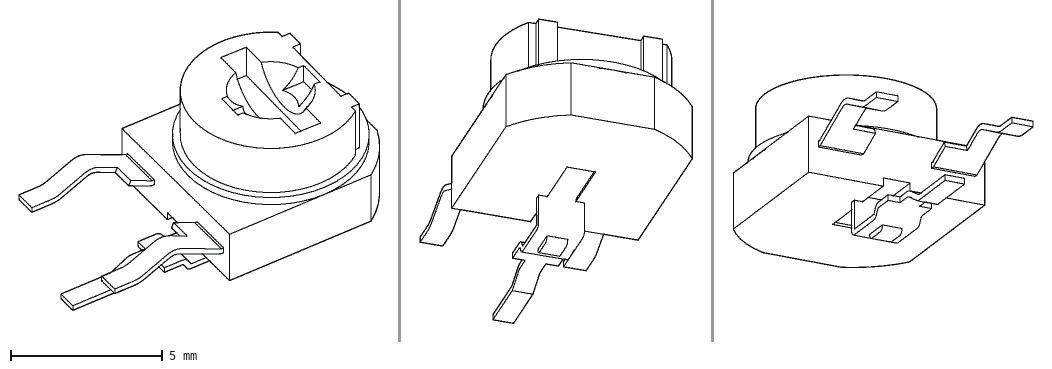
import cadquery as cq
import math


overall_length = 11.31

housing_width = 6.5
housing_back_y = housing_width / 2
housing_front_y = -3.75
housing_height = 2.0
corner_radius = 3.97
corner_center_y = -0.44
collar_height = 0.3
collar_top_z = housing_height + collar_height
collar_bore_radius = 2.69

knob_radius = 3.0
knob_height = 1.9
knob_top_z = collar_top_z + knob_height
knob_turn = -1.0
flat_y = 1.8
tab_inner_x = 1.49
tab_outer_x = 2.15
tab_tip_y = 2.1
slot_length = 4.6
slot_width = 1.0
slot_depth = 1.22
cross_slot_length = 3.2
cross_slot_depth = 0.7
bowl_radius = 1.47
bowl_depth = 1.0

sheet_thickness = 0.2
sharp_bend = sheet_thickness / 2
blade_width = 1.61
terminal_end_y = housing_back_y - overall_length

side_outer_x = 2.9
side_arm_width = 0.79
side_root_z = 1.06
side_first_bend_y = -3.87
side_blade_end_y = -4.73
side_peak_y = -5.7
side_peak_radius = 0.59
side_tip_z = 1.27
side_tip_radius = 0.92
side_slope = math.radians(25)

wiper_leg_y = -2.13
wiper_arm_width = 0.72
wiper_low_z = -1.13
wiper_step_y = -3.73
wiper_step_z = -0.81
wiper_step_slope = math.radians(60)
wiper_step_radius = 0.2
wiper_shoulder_y = -4.73
wiper_drop_y = -5.35
wiper_drop_radius = 0.37
wiper_drop_slope = math.radians(30)
wiper_tip_z = -1.23
tongue_width = 1.0
tongue_top_z = 0.29
tongue_end_y = 0.0
tongue_bend_radius = tongue_top_z - sheet_thickness / 2
rib_center_y = -2.94
rib_length = 0.95
rib_bottom_z = -1.43
rib_corner_radius = 0.18


def box(x_range, y_range, z_range):
    """Box between the given limits."""
    size = [high - low for low, high in (x_range, y_range, z_range)]
    corner = (x_range[0], y_range[0], z_range[0])
    return cq.Workplane("XY").box(*size, centered=False).translate(corner)


def strip_corners(path, offset):
    """Mitred corners of the line that runs beside a (Y, Z) path; a positive offset is to its left."""
    points = [cq.Vector(0, y, z) for y, z in path]
    left = [cq.Vector(1, 0, 0).cross(end - start).normalized() for start, end in zip(points, points[1:])]
    corners = [points[0] + left[0] * offset]
    for point, left_before, left_after in zip(points[1:], left, left[1:]):
        miter = left_before + left_after
        corners.append(point + miter * (2 * offset / miter.dot(miter)))
    corners.append(points[-1] + left[-1] * offset)
    return corners


def round_corner(outline, corner, radius):
    """Wire with the vertex at the given corner rounded."""
    vertex = min(outline.Vertices(), key=lambda candidate: (candidate.Center() - corner).Length)
    return outline.fillet2D(radius, [vertex])


def bent_strip(path, bend_radii, x_range):
    """Sheet strip along a (Y, Z) centre path, with a centre radius for each inner path point.

    A radius of zero leaves that bend mitred on both sides.
    """
    half_sheet = sheet_thickness / 2
    left_side = strip_corners(path, half_sheet)
    right_side = strip_corners(path, -half_sheet)
    outline = cq.Wire.makePolygon(left_side + right_side[::-1], close=True)
    for i, radius in enumerate(bend_radii, start=1):
        left_in = left_side[i] - left_side[i - 1]
        left_out = left_side[i + 1] - left_side[i]
        turns_left = left_in.cross(left_out).x > 0
        inner, outer = (left_side, right_side) if turns_left else (right_side, left_side)
        for corner, side_radius in ((inner[i], radius - half_sheet), (outer[i], radius + half_sheet)):
            if radius > 0 and side_radius > 0:
                outline = round_corner(outline, corner, side_radius)
    x_start, x_end = x_range
    strip = cq.Solid.extrudeLinear(outline, [], cq.Vector(x_end - x_start, 0, 0))
    return cq.Workplane("XY").add(strip).translate((x_start, 0, 0))


def make_housing():
    """Block with two rounded rear corners, and a bored collar on top."""
    half_width = housing_width / 2
    back_corner_x = math.sqrt(corner_radius**2 - (housing_back_y - corner_center_y) ** 2)
    side_corner_y = corner_center_y + math.sqrt(corner_radius**2 - half_width**2)
    diagonal = corner_radius * math.sqrt(0.5)
    block = (
        cq.Workplane("XY")
        .moveTo(-half_width, housing_front_y)
        .lineTo(half_width, housing_front_y)
        .lineTo(half_width, side_corner_y)
        .threePointArc((diagonal, corner_center_y + diagonal), (back_corner_x, housing_back_y))
        .lineTo(-back_corner_x, housing_back_y)
        .threePointArc((-diagonal, corner_center_y + diagonal), (-half_width, side_corner_y))
        .close()
        .extrude(housing_height)
    )
    collar = (
        cq.Workplane("XY", origin=(0, 0, housing_height))
        .circle(half_width)
        .circle(collar_bore_radius)
        .extrude(collar_height)
    )
    tongue_channel = box(
        (-tongue_width / 2, tongue_width / 2),
        (housing_front_y, tongue_end_y),
        (0, tongue_top_z),
    )
    return block.union(collar).cut(tongue_channel)


def make_driver_recess():
    """Straight slot, shorter cross slot and spherical bowl, all open at the top of the knob."""
    slot = box(
        (-slot_length / 2, slot_length / 2),
        (-slot_width / 2, slot_width / 2),
        (knob_top_z - slot_depth, knob_top_z),
    )
    cross_slot = box(
        (-slot_width / 2, slot_width / 2),
        (-cross_slot_length / 2, cross_slot_length / 2),
        (knob_top_z - cross_slot_depth, knob_top_z),
    )
    sphere_radius = (bowl_radius**2 + bowl_depth**2) / (2 * bowl_depth)
    bowl = cq.Workplane("XY").sphere(sphere_radius).translate((0, 0, knob_top_z - bowl_depth + sphere_radius))
    return slot.union(cross_slot).union(bowl)


def make_rotor():
    """Knob with a flat and two pointer tabs, on a spigot that fills the collar bore."""
    knob_z = (collar_top_z, knob_top_z)
    knob = cq.Workplane("XY", origin=(0, 0, collar_top_z)).circle(knob_radius).extrude(knob_height)
    knob = knob.cut(box((-knob_radius, knob_radius), (flat_y, knob_radius), knob_z))
    for x_range in ((-tab_outer_x, -tab_inner_x), (tab_inner_x, tab_outer_x)):
        knob = knob.union(box(x_range, (0, tab_tip_y), knob_z))
    knob = knob.cut(make_driver_recess()).rotate((0, 0, 0), (0, 0, 1), knob_turn)
    spigot = cq.Workplane("XY", origin=(0, 0, housing_height)).circle(collar_bore_radius).extrude(collar_height)
    return knob.union(spigot)


def make_side_terminal(side):
    """L-shaped terminal: a wide blade at the housing face, and a narrow arm on its outer edge."""
    rise = math.tan(side_slope)
    root = (housing_front_y, side_root_z)
    first_bend = (side_first_bend_y, side_root_z)
    blade_end = (side_blade_end_y, side_root_z + (side_first_bend_y - side_blade_end_y) * rise)
    peak_z = side_root_z + (side_first_bend_y - side_peak_y) * rise
    peak = (side_peak_y, peak_z)
    tip_bend = (side_peak_y - (peak_z - side_tip_z) / rise, side_tip_z)
    tip = (terminal_end_y, side_tip_z)

    def x_range(width):
        return sorted((side * side_outer_x, side * (side_outer_x - width)))

    blade = bent_strip([root, first_bend, blade_end], [0], x_range(blade_width))
    arm = bent_strip(
        [root, first_bend, peak, tip_bend, tip],
        [0, side_peak_radius, side_tip_radius],
        x_range(side_arm_width),
    )
    return blade.union(arm)


def make_wiper_terminal():
    """Terminal under the housing: tongue in the channel, wide blade, narrow arm and a stiffening rib."""
    blade_x = (-blade_width / 2, blade_width / 2)
    arm_x = (-wiper_arm_width / 2, wiper_arm_width / 2)
    tongue_x = (-tongue_width / 2, tongue_width / 2)
    tongue_z = tongue_top_z - sheet_thickness / 2
    tongue = bent_strip(
        [(tongue_end_y, tongue_z), (wiper_leg_y, tongue_z), (wiper_leg_y, 0)],
        [tongue_bend_radius],
        tongue_x,
    )

    step_run = (wiper_step_z - wiper_low_z) / math.tan(wiper_step_slope)
    shoulder = (wiper_shoulder_y, wiper_step_z)
    blade = bent_strip(
        [
            (wiper_leg_y, 0),
            (wiper_leg_y, wiper_low_z),
            (wiper_step_y, wiper_low_z),
            (wiper_step_y - step_run, wiper_step_z),
            shoulder,
        ],
        [sharp_bend, sharp_bend, wiper_step_radius],
        blade_x,
    )

    drop_run = (wiper_step_z - wiper_tip_z) / math.tan(wiper_drop_slope)
    arm = bent_strip(
        [
            shoulder,
            (wiper_drop_y, wiper_step_z),
            (wiper_drop_y - drop_run, wiper_tip_z),
            (terminal_end_y, wiper_tip_z),
        ],
        [wiper_drop_radius, 0],
        arm_x,
    )

    rib = box(
        arm_x,
        (rib_center_y - rib_length / 2, rib_center_y + rib_length / 2),
        (rib_bottom_z, wiper_low_z - sheet_thickness / 2),
    )
    rib = rib.edges("|X and <Z").fillet(rib_corner_radius)
    return blade.union(tongue).union(arm).union(rib)


housing = make_housing()
rotor = make_rotor()
side_terminals = [make_side_terminal(side) for side in (-1, 1)]
wiper_terminal = make_wiper_terminal()

result = cq.Compound.makeCompound(
    [
        housing.val(),
        rotor.val(),
        *[terminal.val() for terminal in side_terminals],
        wiper_terminal.val(),
    ]
)